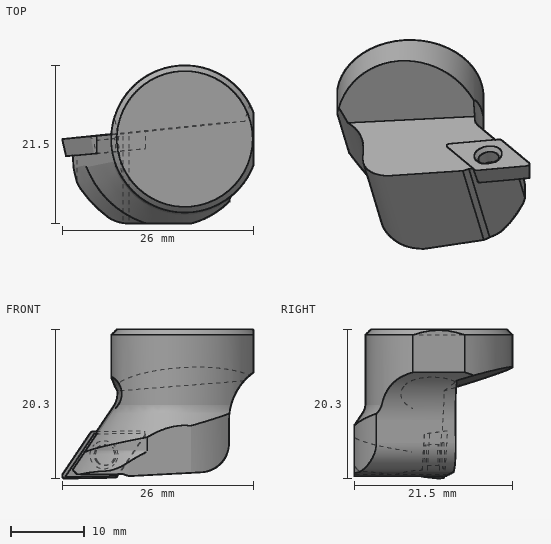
import cadquery as cq
import math


REACH = 30.0
MARGIN = 1.0

shank_radius = 10.0
shank_chamfer = 0.78
cone_angle = 34.0
cone_start = -10.83
neck_fillet = 1.8
cone_slope = math.tan(math.radians(cone_angle))

relief_centre = (-1.38, 0.72)
relief_radius = 12.78
lip_start = -16.66
lip_fillet = 0.75

flat_x = 9.36
right_wall_x = 6.03
wall_sweep_radius = 8.0
wall_sweep_start = -12.35
heel_radius = 4.0
heel_bottom = (2.1, -19.45)
bottom_low = (-7.57, -19.96)
bottom_step = (-8.4, -19.68)
toe_start_x = -14.64

front_y = -11.5
front_left_x = bottom_low[0]
front_right_x = 0.85
right_wall_front_y = -8.5
right_bulge_mid = (3.6, -10.37)
left_corner_end = (-10.33, -10.7)
left_wall_mid = (-12.85, -8.4)
left_wall_end = (-14.7, -5.97)

insert_circle = 6.35
insert_angle = 55.0
insert_thickness = 2.38
insert_clearance = 7.0
nose_radius = 0.4
screw_hole = 2.8
countersink = 3.8
countersink_depth = 0.6
insert_edge = insert_circle / math.sin(math.radians(insert_angle))

insert_corner = (-17.02, -0.05, -20.31)
rake_slope_x = 0.104
rake_slope_z = -0.01
rake = cq.Plane(
    origin=insert_corner,
    xDir=(1, rake_slope_x, 0),
    normal=(rake_slope_x, -1, rake_slope_z),
)

flank_angle = math.radians(cone_angle)
flank_inset = 0.725
flank_top = 9.83
gullet_radius = 3.15

roof_point = (0, 10.0, -5.15)
roof_slope_x = 0.049
roof_slope_y = 0.293


def half_space(plane):
    """A large block on the positive side of a plane."""
    return cq.Workplane(plane).rect(4 * REACH, 4 * REACH).extrude(2 * REACH)


def flared_round(radius, top, flare_start, fillet):
    """Cylinder about Z that flares into a cone, with a fillet where the two meet."""
    bottom = flare_start - REACH
    profile = [
        (0, top),
        (radius, top),
        (radius, flare_start),
        (radius + REACH * cone_slope, bottom),
        (0, bottom),
    ]
    solid = cq.Workplane("XZ").polyline(profile).close().revolve(360, (0, 0), (0, 1))
    height_tolerance = 0.1
    flare_edge = cq.selectors.BoxSelector(
        (-REACH, -REACH, flare_start - height_tolerance),
        (REACH, REACH, flare_start + height_tolerance),
    )
    return solid.edges("%CIRCLE").edges(flare_edge).fillet(fillet)


def make_shank_and_cone():
    solid = flared_round(shank_radius, 0, cone_start, neck_fillet)
    return solid.faces(">Z").edges().chamfer(shank_chamfer)


def make_relief_envelope():
    solid = flared_round(relief_radius, MARGIN, lip_start, lip_fillet)
    return solid.translate((*relief_centre, 0))


def make_side_envelope():
    """Prism along Y: flat, swept right wall, rounded heel, underside and turned-up toe."""
    sweep_run = flat_x - right_wall_x
    sweep_rise = math.sqrt(wall_sweep_radius**2 - (wall_sweep_radius - sweep_run) ** 2)
    half = math.asin(sweep_rise / wall_sweep_radius) / 2
    sweep_mid = (
        right_wall_x + wall_sweep_radius * (1 - math.cos(half)),
        wall_sweep_start + wall_sweep_radius * math.sin(half),
    )
    toe_run = 5.0
    toe_end = (toe_start_x - toe_run, bottom_step[1] + toe_run)
    outline = (
        cq.Workplane("XZ")
        .moveTo(toe_end[0], MARGIN)
        .lineTo(flat_x, MARGIN)
        .lineTo(flat_x, wall_sweep_start + sweep_rise)
        .threePointArc(sweep_mid, (right_wall_x, wall_sweep_start))
        .lineTo(right_wall_x, heel_bottom[1] + heel_radius)
        .tangentArcPoint(heel_bottom, relative=False)
        .lineTo(*bottom_low)
        .lineTo(*bottom_step)
        .lineTo(toe_start_x, bottom_step[1])
        .lineTo(*toe_end)
        .close()
    )
    return outline.extrude(REACH, both=True)


def make_plan_envelope():
    """Prism along Z: straight front with a bulged right corner and a rounded left side."""
    outline = (
        cq.Workplane("XY")
        .moveTo(right_wall_x, right_wall_front_y)
        .threePointArc(right_bulge_mid, (front_right_x, front_y))
        .lineTo(front_left_x, front_y)
        .tangentArcPoint(left_corner_end, relative=False)
        .threePointArc(left_wall_mid, left_wall_end)
        .lineTo(-REACH, left_wall_end[1])
        .lineTo(-REACH, REACH)
        .lineTo(REACH, REACH)
        .lineTo(REACH, right_wall_front_y)
        .close()
    )
    return outline.extrude(REACH, both=True)


def make_chip_space():
    """Space behind the rake face and below the sloping roof."""
    behind = half_space(cq.Plane(rake.origin, rake.xDir, rake.zDir * -1))
    below = half_space(cq.Plane(roof_point, (1, 0, roof_slope_x), (roof_slope_x, roof_slope_y, -1)))
    return behind.intersect(below)


def make_flank_cut():
    """Flank parallel to the insert edge, running up into a round gullet."""
    sin_flank = math.sin(flank_angle)
    cos_flank = math.cos(flank_angle)
    tan_flank = math.tan(flank_angle)
    bottom = -flank_top
    tangent = (flank_inset + flank_top * tan_flank, flank_top)
    centre = (tangent[0] - gullet_radius * cos_flank, tangent[1] + gullet_radius * sin_flank)
    outside = [
        tangent,
        (flank_inset + bottom * tan_flank, bottom),
        (-REACH, bottom),
        (-REACH, centre[1]),
        centre,
    ]
    flank = cq.Workplane(rake).polyline(outside).close().extrude(REACH, both=True)
    gullet = cq.Workplane(rake).center(*centre).circle(gullet_radius).extrude(REACH, both=True)
    return flank.union(gullet)


def insert_outline():
    """Corners of the rhombus, starting at the cutting corner."""
    upper = flank_angle
    lower = flank_angle + math.radians(insert_angle)
    along_flank = (insert_edge * math.sin(upper), insert_edge * math.cos(upper))
    along_end = (insert_edge * math.sin(lower), insert_edge * math.cos(lower))
    opposite = (along_flank[0] + along_end[0], along_flank[1] + along_end[1])
    return [(0, 0), along_end, opposite, along_flank]


def make_insert_blank():
    corners = insert_outline()
    rhombus = cq.Sketch().polygon([*corners, corners[0]]).vertices().fillet(nose_radius)
    return cq.Workplane(rake).placeSketch(rhombus).extrude(insert_thickness, taper=insert_clearance)


def make_insert():
    opposite = insert_outline()[2]
    centre = (opposite[0] / 2, opposite[1] / 2)
    hole = cq.Workplane(rake).center(*centre).circle(screw_hole / 2).extrude(insert_thickness)
    sink = (
        cq.Workplane(rake)
        .center(*centre)
        .circle(countersink / 2)
        .workplane(offset=countersink_depth)
        .circle(screw_hole / 2)
        .loft()
    )
    return make_insert_blank().cut(hole).cut(sink)


def make_holder():
    return (
        make_shank_and_cone()
        .intersect(make_side_envelope())
        .intersect(make_plan_envelope())
        .cut(make_chip_space())
        .cut(make_flank_cut())
        .intersect(make_relief_envelope())
        .cut(make_insert_blank())
    )


holder = make_holder()
insert = make_insert()

result = cq.Compound.makeCompound([holder.val(), insert.val()])